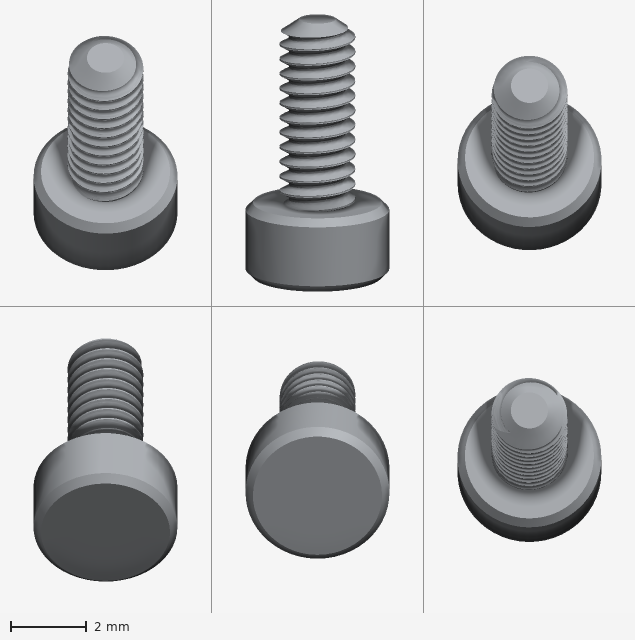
import cadquery as cq
import math

total_length = 7.0
head_diameter = 3.8
head_height = 2 / 7 * total_length
head_chamfer = 0.195

thread_radius = head_height / 2
tip_radius = 0.49
tip_slope = math.radians(35)
tip_height = (thread_radius - tip_radius) * math.tan(tip_slope)

pitch = head_height / 5
thread_depth = 0.245
crest_flat = pitch / 8
flank_slope = math.tan(math.radians(30))
groove_phase = 0.3 * pitch
rod_start_depth = pitch / 2
rod_run_out = pitch / 4
envelope_margin = 0.14
flank_steps = 16


def make_head():
    return (
        cq.Workplane("XY")
        .circle(head_diameter / 2)
        .extrude(head_height)
        .edges()
        .chamfer(head_chamfer)
    )


def polar_point(radius, angle):
    return (radius * math.cos(angle), radius * math.sin(angle))


def make_threaded_rod():
    """Horizontal slice of the thread, extruded upward with one twist per pitch."""
    root_radius = thread_radius - thread_depth
    angle_per_height = 2 * math.pi / pitch
    half_crest = crest_flat / 2 * angle_per_height
    half_flanks = half_crest + thread_depth * flank_slope * angle_per_height
    groove_angle = (groove_phase - rod_start_depth) * angle_per_height
    crest_angle = groove_angle + math.pi

    def flank_point(side, fraction):
        """Point on a spiral flank, from the crest (0) to the root (1)."""
        turn = half_crest + fraction * (half_flanks - half_crest)
        return polar_point(thread_radius - fraction * thread_depth, crest_angle + side * turn)

    fractions = [step / flank_steps for step in range(flank_steps + 1)]
    left_flank = [flank_point(1, fraction) for fraction in fractions]
    right_flank = [flank_point(-1, fraction) for fraction in reversed(fractions)]
    rod_height = total_length - head_height + rod_start_depth + rod_run_out
    return (
        cq.Workplane("XY", origin=(0, 0, head_height - rod_start_depth))
        .moveTo(*right_flank[-1])
        .threePointArc(polar_point(thread_radius, crest_angle), left_flank[0])
        .spline(left_flank[1:], includeCurrent=True)
        .threePointArc(polar_point(root_radius, groove_angle), right_flank[0])
        .spline(right_flank[1:], includeCurrent=True)
        .wire()
        .twistExtrude(rod_height, 360 * rod_height / pitch)
    )


def make_shank_envelope():
    """Oversize cylinder ending in the conical tip, to trim the rod."""
    cone_base = total_length - tip_height
    outer_radius = thread_radius + envelope_margin
    shoulder = cone_base - envelope_margin * math.tan(tip_slope)
    return (
        cq.Workplane("XZ")
        .moveTo(0, head_height - rod_start_depth)
        .lineTo(outer_radius, head_height - rod_start_depth)
        .lineTo(outer_radius, shoulder)
        .lineTo(tip_radius, total_length)
        .lineTo(0, total_length)
        .close()
        .revolve(360, (0, 0, 0), (0, 1, 0))
    )


threaded_shank = make_threaded_rod().intersect(make_shank_envelope())
result = make_head().union(threaded_shank)